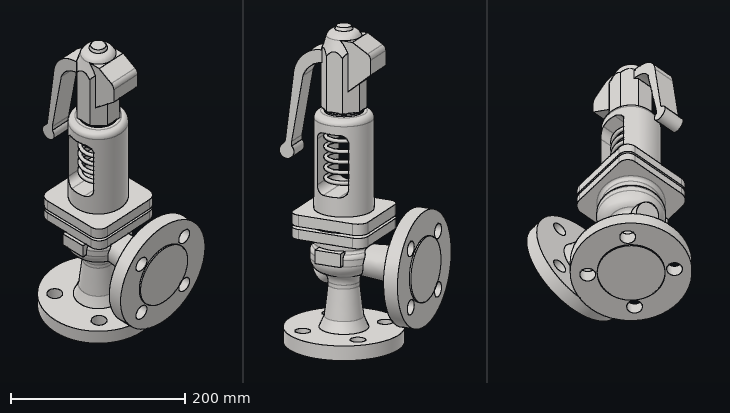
import cadquery as cq
import math

PORT_LENGTH = 105.0
FLANGE_DIAMETER = 140.0
FLANGE_THICKNESS = 18.0
RAISED_FACE_DIAMETER = 78.0
RAISED_FACE_HEIGHT = 2.0
BOLT_CIRCLE = 100.0
BOLT_HOLE_DIAMETER = 18.0
BOLT_COUNT = 4
FLANGE_BACK = RAISED_FACE_HEIGHT + FLANGE_THICKNESS
NECK_BASE_RADIUS = 28.7
NECK_FLARE_RADIUS = 22.8
NECK_FLARE_LENGTH = 13.5
NECK_FLARE_END = FLANGE_BACK + NECK_FLARE_LENGTH
OUTLET_ROOT_RADIUS = 17.0
INLET_THROAT_RADIUS = 18.5
INLET_THROAT_Z = 71.4

BOWL_RADIUS = 39.6
BOWL_LOWER_ROUND = 17.0
BOWL_LOWER_Z = 105.5
BOWL_UPPER_Z = 113.2
SHOULDER_Z = 119.0
SHOULDER_RADIUS = 36.5
COLLAR_Z = 123.0
COLLAR_RADIUS = 34.8
COLLAR_FILLET = 4.5
THROAT_ROUND = 14.0
STUB_RADIUS = 15.0
STUB_ANGLE = 36.0
STUB_REACH = 35.6
STUB_AXIS_Z = 103.4
PLATE_WIDTH = 32.7
PLATE_BOTTOM_Z = 106.6
PLATE_DEPTH = 12.0
PLATE_FACE_Y = -42.2

BODY_FLANGE_Z = 134.5
BODY_FLANGE_THICKNESS = 12.5
GASKET_THICKNESS = 1.2
SPIGOT_HEIGHT = 2.3
BONNET_FLANGE_THICKNESS = 13.8
SQUARE_SIDE = 96.0
SQUARE_CORNER_RADIUS = 13.2
GASKET_RADIUS = 42.0
SPIGOT_RADIUS = 38.5
GASKET_Z = BODY_FLANGE_Z + BODY_FLANGE_THICKNESS
SPIGOT_Z = GASKET_Z + GASKET_THICKNESS
BONNET_FLANGE_Z = SPIGOT_Z + SPIGOT_HEIGHT
BONNET_Z = BONNET_FLANGE_Z + BONNET_FLANGE_THICKNESS

BONNET_RADIUS = 34.8
BONNET_TOP_Z = 282.0
BONNET_ROUND = 8.0
WINDOW_WIDTH = 40.0
WINDOW_HEIGHT = 75.6
WINDOW_CORNER_RADIUS = 10.0
WINDOW_CENTER_Z = 225.4
COIL_COUNT = 5
COIL_PITCH = 12.7
COIL_RADIUS = 21.0
WIRE_RADIUS = 2.5
COIL_CENTER_Z = 226.3

CAP_NECK_RADIUS = 23.2
CAP_FOOT_RADIUS = 22.5
CAP_FOOT_TOP_Z = 284.0
CAP_Z = 286.5
CAP_ACROSS_FLATS = 49.3
CAP_SIDES = 8
CAP_CORNER_RADIUS = CAP_ACROSS_FLATS / 2 / math.cos(math.pi / CAP_SIDES)
CAP_CONE_Z = 354.0
DOME_Z = 373.7
DOME_RADIUS = 20.6
DOME_TOP_Z = 381.5
DOME_TOP_RADIUS = 10.6
TIP_RADIUS = 9.0
TOTAL_HEIGHT = 385.5

LEVER_WIDTH = 27.4
LEVER_BALL_RADIUS = 9.5
LEVER_END_X = -76.27
LEVER_ROOT_X = -21.3
LEVER_ROOT_TOP_Z = 356.4
LEVER_ROOT_BOTTOM_Z = 340.9
LEVER_BEND_Z = 321.3
LEVER_SHANK_END_Z = 239.5
LEVER_BALL_START_Z = 234.0
LEVER_BALL_X = LEVER_END_X + LEVER_BALL_RADIUS
LEVER_BALL_Z = 227.2
LEVER_OUTER_ARC_POINT = (-48.5, 344.5)
LEVER_OUTER_BEND_X = -58.3
LEVER_OUTER_SHANK_X = -68.6
LEVER_INNER_ARC_POINT = (-37.6, 333.5)
LEVER_INNER_BEND_X = -45.8
LEVER_INNER_SHANK_X = -60.2
HOUSING_WIDTH = 40.0
HOUSING_END_X = 44.0
HOUSING_TOP_END_X = 20.7
HOUSING_SHOULDER_Z = 360.2
HOUSING_UNDERCUT_Z = 337.3
HOUSING_FOOT_X = 13.9
HOUSING_FOOT_Z = 312.0
HOUSING_CORNER_RADIUS = 8.0


def cylinder(radius, bottom, top):
    return cq.Workplane("XY").workplane(offset=bottom).circle(radius).extrude(top - bottom)


def pipe_flange():
    """Flange standing on the XY plane with its raised face at the bottom."""
    disc = cylinder(FLANGE_DIAMETER / 2, RAISED_FACE_HEIGHT, FLANGE_BACK)
    holes = (
        cq.Workplane("XY")
        .polarArray(BOLT_CIRCLE / 2, 180 / BOLT_COUNT, 360, BOLT_COUNT)
        .circle(BOLT_HOLE_DIAMETER / 2)
        .extrude(FLANGE_BACK)
    )
    return disc.cut(holes).union(cylinder(RAISED_FACE_DIAMETER / 2, 0, FLANGE_BACK))


def body():
    """Inlet neck, throat, bowl and collar turned about the Z axis."""
    bowl_center_r = BOWL_RADIUS - BOWL_LOWER_ROUND
    throat_center_r = INLET_THROAT_RADIUS + THROAT_ROUND
    center_distance = BOWL_LOWER_ROUND + THROAT_ROUND
    lean = math.asin((throat_center_r - bowl_center_r) / center_distance)
    throat_center_z = BOWL_LOWER_Z - center_distance * math.cos(lean)

    def throat_point(angle):
        return (
            throat_center_r - THROAT_ROUND * math.sin(angle),
            throat_center_z + THROAT_ROUND * math.cos(angle),
        )

    def bowl_point(angle):
        return (
            bowl_center_r + BOWL_LOWER_ROUND * math.sin(angle),
            BOWL_LOWER_Z - BOWL_LOWER_ROUND * math.cos(angle),
        )

    quarter = math.pi / 2
    return (
        cq.Workplane("XZ")
        .moveTo(0, FLANGE_BACK)
        .lineTo(NECK_BASE_RADIUS, FLANGE_BACK)
        .lineTo(NECK_FLARE_RADIUS, NECK_FLARE_END)
        .lineTo(INLET_THROAT_RADIUS, INLET_THROAT_Z)
        .lineTo(INLET_THROAT_RADIUS, throat_center_z)
        .threePointArc(throat_point((quarter + lean) / 2), throat_point(lean))
        .threePointArc(bowl_point((quarter + lean) / 2), bowl_point(quarter))
        .lineTo(BOWL_RADIUS, BOWL_UPPER_Z)
        .tangentArcPoint((SHOULDER_RADIUS, SHOULDER_Z), relative=False)
        .tangentArcPoint((COLLAR_RADIUS, COLLAR_Z), relative=False)
        .lineTo(COLLAR_RADIUS, BODY_FLANGE_Z - COLLAR_FILLET)
        .radiusArc((COLLAR_RADIUS + COLLAR_FILLET, BODY_FLANGE_Z), COLLAR_FILLET)
        .lineTo(0, BODY_FLANGE_Z)
        .close()
        .revolve(360, (0, 0, 0), (0, 1, 0))
    )


def outlet():
    """Outlet flange and neck, built standing up and turned onto the +X axis."""
    neck = (
        cq.Workplane("XZ")
        .moveTo(0, FLANGE_BACK)
        .lineTo(NECK_BASE_RADIUS, FLANGE_BACK)
        .lineTo(NECK_FLARE_RADIUS, NECK_FLARE_END)
        .lineTo(OUTLET_ROOT_RADIUS, PORT_LENGTH)
        .lineTo(0, PORT_LENGTH)
        .close()
        .revolve(360, (0, 0, 0), (0, 1, 0))
    )
    return (
        pipe_flange()
        .union(neck)
        .rotate((0, 0, 0), (0, 1, 0), -90)
        .translate((PORT_LENGTH, 0, PORT_LENGTH))
    )


def drain_stub():
    """Sloping round stub on the side of the bowl away from the outlet."""
    slope = math.radians(STUB_ANGLE)
    plane = cq.Plane(
        origin=(0, 0, STUB_AXIS_Z),
        xDir=(0, 1, 0),
        normal=(-math.cos(slope), 0, -math.sin(slope)),
    )
    return cq.Workplane(plane).circle(STUB_RADIUS).extrude(STUB_REACH)


def name_plate():
    """Flat pad on the -Y side of the bowl."""
    return (
        cq.Workplane("XY")
        .box(PLATE_WIDTH, PLATE_DEPTH, COLLAR_Z - PLATE_BOTTOM_Z, centered=(True, False, False))
        .translate((0, PLATE_FACE_Y, PLATE_BOTTOM_Z))
    )


def square_flange(bottom, thickness):
    return (
        cq.Workplane("XY")
        .workplane(offset=bottom)
        .rect(SQUARE_SIDE, SQUARE_SIDE)
        .extrude(thickness)
        .edges("|Z")
        .fillet(SQUARE_CORNER_RADIUS)
    )


def bonnet():
    """Bonnet with a round-cornered window along Y and spring coils held in the window walls."""
    shell = cylinder(BONNET_RADIUS, BONNET_Z, BONNET_TOP_Z).faces(">Z").edges().fillet(BONNET_ROUND)
    window = (
        cq.Workplane("XY")
        .box(WINDOW_WIDTH, 2 * BONNET_RADIUS, WINDOW_HEIGHT)
        .edges("|Y")
        .fillet(WINDOW_CORNER_RADIUS)
        .translate((0, 0, WINDOW_CENTER_Z))
    )
    shell = shell.cut(window)
    for index in range(COIL_COUNT):
        height = COIL_CENTER_Z + (index - (COIL_COUNT - 1) / 2) * COIL_PITCH
        coil = cq.Solid.makeTorus(COIL_RADIUS, WIRE_RADIUS, cq.Vector(0, 0, height))
        shell = shell.union(cq.Workplane(obj=coil))
    return shell


def cap():
    """Octagonal cap: a prism trimmed by a cone and closed by a dome and a tip."""
    prism = (
        cq.Workplane("XY")
        .workplane(offset=CAP_Z)
        .polygon(CAP_SIDES, 2 * CAP_CORNER_RADIUS)
        .extrude(TOTAL_HEIGHT - CAP_Z)
        .rotate((0, 0, 0), (0, 0, 1), 180 / CAP_SIDES)
    )
    envelope = (
        cq.Workplane("XZ")
        .moveTo(0, CAP_Z)
        .lineTo(CAP_CORNER_RADIUS, CAP_Z)
        .lineTo(CAP_CORNER_RADIUS, CAP_CONE_Z)
        .lineTo(DOME_RADIUS, DOME_Z)
        .tangentArcPoint((DOME_TOP_RADIUS, DOME_TOP_Z), relative=False)
        .lineTo(TIP_RADIUS, TOTAL_HEIGHT)
        .lineTo(0, TOTAL_HEIGHT)
        .close()
        .revolve(360, (0, 0, 0), (0, 1, 0))
    )
    neck = cylinder(CAP_NECK_RADIUS, CAP_FOOT_TOP_Z, CAP_Z)
    foot = cylinder(CAP_FOOT_RADIUS, BONNET_TOP_Z, CAP_FOOT_TOP_Z)
    return prism.intersect(envelope).union(neck).union(foot)


def lever():
    """Curved lever hanging from the cap, with a rounded end."""
    ball_half_width = math.sqrt(LEVER_BALL_RADIUS**2 - (LEVER_BALL_START_Z - LEVER_BALL_Z) ** 2)
    arm = (
        cq.Workplane("XZ")
        .moveTo(LEVER_ROOT_X, LEVER_ROOT_TOP_Z)
        .threePointArc(LEVER_OUTER_ARC_POINT, (LEVER_OUTER_BEND_X, LEVER_BEND_Z))
        .lineTo(LEVER_OUTER_SHANK_X, LEVER_SHANK_END_Z)
        .lineTo(LEVER_BALL_X - ball_half_width, LEVER_BALL_START_Z)
        .lineTo(LEVER_BALL_X, LEVER_BALL_Z)
        .lineTo(LEVER_BALL_X + ball_half_width, LEVER_BALL_START_Z)
        .lineTo(LEVER_INNER_SHANK_X, LEVER_SHANK_END_Z)
        .lineTo(LEVER_INNER_BEND_X, LEVER_BEND_Z)
        .threePointArc(LEVER_INNER_ARC_POINT, (LEVER_ROOT_X, LEVER_ROOT_BOTTOM_Z))
        .close()
        .extrude(LEVER_WIDTH / 2, both=True)
    )
    ball = (
        cq.Workplane("XZ")
        .center(LEVER_BALL_X, LEVER_BALL_Z)
        .circle(LEVER_BALL_RADIUS)
        .extrude(LEVER_WIDTH / 2, both=True)
    )
    return arm.union(ball)


def cam_housing():
    """Housing for the lever cam on the +X side of the cap."""
    return (
        cq.Workplane("XZ")
        .moveTo(0, DOME_Z)
        .lineTo(HOUSING_TOP_END_X, DOME_Z)
        .lineTo(HOUSING_END_X, HOUSING_SHOULDER_Z)
        .lineTo(HOUSING_END_X, HOUSING_UNDERCUT_Z)
        .lineTo(HOUSING_FOOT_X, HOUSING_FOOT_Z)
        .lineTo(0, HOUSING_FOOT_Z)
        .close()
        .extrude(HOUSING_WIDTH / 2, both=True)
        .edges(cq.selectors.NearestToPointSelector((HOUSING_END_X, 0, HOUSING_SHOULDER_Z)))
        .fillet(HOUSING_CORNER_RADIUS)
    )


result = (
    pipe_flange()
    .union(body())
    .union(outlet())
    .union(drain_stub())
    .union(name_plate())
    .union(square_flange(BODY_FLANGE_Z, BODY_FLANGE_THICKNESS))
    .union(cylinder(GASKET_RADIUS, GASKET_Z, SPIGOT_Z))
    .union(cylinder(SPIGOT_RADIUS, SPIGOT_Z, BONNET_FLANGE_Z))
    .union(square_flange(BONNET_FLANGE_Z, BONNET_FLANGE_THICKNESS))
    .union(bonnet())
    .union(cap())
    .union(lever())
    .union(cam_housing())
)